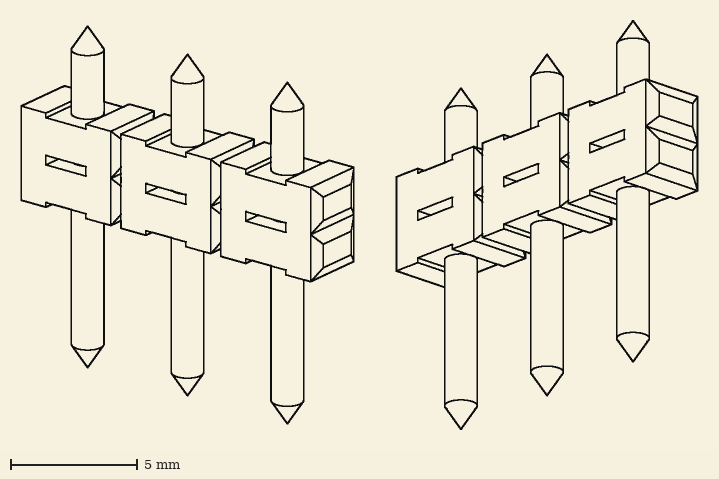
import cadquery as cq
import math


pin_count = 3
pitch = 5.0
housing_depth = 2.8
housing_height = 4.0

pad_projection = 0.25
pad_inset = 0.5
pads_per_side = 2
pad_height = housing_height / pads_per_side
pad_taper = math.degrees(math.atan2(pad_inset, pad_projection))
block_width = pitch - 2 * pad_projection

opening_width = 2.0
window_height = 0.4
recess_depth = 0.2

pin_diameter = 1.3
tip_length = 1.0
pin_above_housing = 3.5
pin_below_housing = 7.0
pin_top = housing_height / 2 + pin_above_housing
pin_bottom = -housing_height / 2 - pin_below_housing


def make_pad(side, z_center):
    """Truncated pyramid on the +X (side = 1) or -X (side = -1) face of a block."""
    face = cq.Plane(
        origin=(side * block_width / 2, 0, z_center),
        xDir=(0, 1, 0),
        normal=(side, 0, 0),
    )
    return cq.Workplane(face).rect(housing_depth, pad_height).extrude(pad_projection, taper=pad_taper)


def make_block():
    """One housing block with its window, top and bottom recesses and side pads."""
    block = cq.Workplane("XY").box(block_width, housing_depth, housing_height)

    window = cq.Workplane("XY").box(opening_width, housing_depth, window_height)
    block = block.cut(window)

    recess = cq.Workplane("XY").box(opening_width, housing_depth, 2 * recess_depth)
    for z_face in (-housing_height / 2, housing_height / 2):
        block = block.cut(recess.translate((0, 0, z_face)))

    for side in (-1, 1):
        for level in range(pads_per_side):
            z_center = (level + 0.5) * pad_height - housing_height / 2
            block = block.union(make_pad(side, z_center))
    return block


def make_pin():
    """Round pin with a conical point at each end, revolved about Z."""
    radius = pin_diameter / 2
    half_profile = (
        cq.Workplane("XZ")
        .moveTo(0, pin_bottom)
        .lineTo(radius, pin_bottom + tip_length)
        .lineTo(radius, pin_top - tip_length)
        .lineTo(0, pin_top)
        .close()
    )
    return half_profile.revolve(360, (0, 0, 0), (0, 1, 0))


def make_header():
    """Row of identical block-and-pin units, joined where neighbouring pads meet."""
    unit = make_block().union(make_pin())
    first_x = -pitch * (pin_count - 1) / 2
    header = unit.translate((first_x, 0, 0))
    for index in range(1, pin_count):
        header = header.union(unit.translate((first_x + index * pitch, 0, 0)))
    return header


result = make_header()